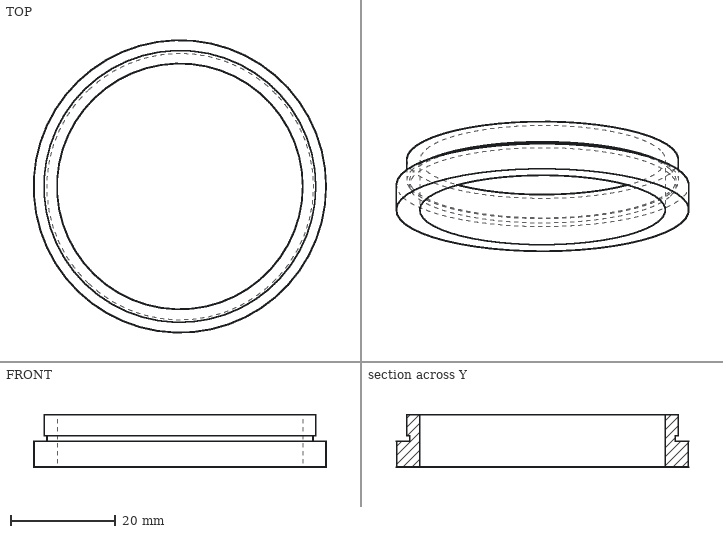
import cadquery as cq

flange_diameter = 56.0
spigot_diameter = 52.0
groove_diameter = 51.0
bore_diameter = 47.0
total_height = 10.0
flange_height = 5.0
groove_width = 1.0


def disc(diameter, bottom, height):
    """Solid disc on the Z axis, standing on the given level."""
    return cq.Workplane("XY").workplane(offset=bottom).circle(diameter / 2).extrude(height)


groove_top = flange_height + groove_width
flange = disc(flange_diameter, 0, flange_height)
groove_core = disc(groove_diameter, flange_height, groove_width)
spigot = disc(spigot_diameter, groove_top, total_height - groove_top)

bore = disc(bore_diameter, 0, total_height)

result = flange.union(groove_core).union(spigot).cut(bore)